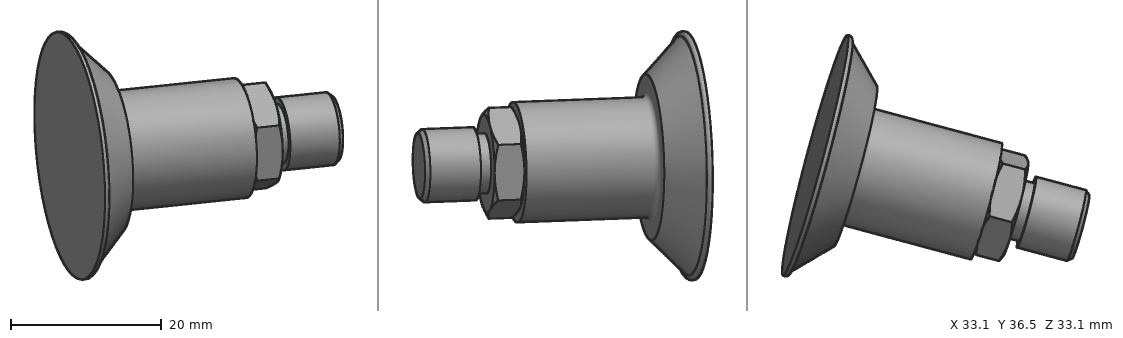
import cadquery as cq
import math

total_length = 36.5
rim_center_height = 0.22
cup_height = 5.5
hex_start = 23.5
hex_end = 27.52
thread_start = 29.05

rim_diameter = 33.07
cone_base_radius = 15.88
cone_top_radius = 11.02
barrel_diameter = 16.0
neck_diameter = 8.0
thread_diameter = 9.75
hex_across_flats = 13.0

rim_round = 0.5
barrel_fillet = 0.7
thread_chamfer_length = 0.62
thread_chamfer_depth = 0.5
hex_chamfer_length = 0.47


def make_cup():
    """Suction cup: rim with a rounded bead edge and a conical back."""
    rim_radius = rim_diameter / 2
    round_center_radius = rim_radius - rim_round
    face_radius = round_center_radius + math.sqrt(rim_round**2 - rim_center_height**2)
    cone_base_inset = round_center_radius - cone_base_radius
    cone_base_height = rim_center_height + math.sqrt(rim_round**2 - cone_base_inset**2)
    profile = (
        cq.Workplane("XY")
        .lineTo(face_radius, 0)
        .threePointArc((rim_radius, rim_center_height), (cone_base_radius, cone_base_height))
        .lineTo(cone_top_radius, cup_height)
        .lineTo(0, cup_height)
        .close()
    )
    return profile.revolve(360, (0, 0), (0, 1))


def make_stem():
    """Barrel with a filleted foot, undercut neck and chamfered thread."""
    barrel_radius = barrel_diameter / 2
    foot_radius = barrel_radius + barrel_fillet
    arc_offset = barrel_fillet * math.sqrt(0.5)
    neck_radius = neck_diameter / 2
    thread_radius = thread_diameter / 2
    profile = (
        cq.Workplane("XY")
        .lineTo(foot_radius, 0)
        .lineTo(foot_radius, cup_height)
        .threePointArc(
            (foot_radius - arc_offset, cup_height + barrel_fillet - arc_offset),
            (barrel_radius, cup_height + barrel_fillet),
        )
        .lineTo(barrel_radius, hex_start)
        .lineTo(neck_radius, hex_start)
        .lineTo(neck_radius, thread_start)
        .lineTo(thread_radius, thread_start)
        .lineTo(thread_radius, total_length - thread_chamfer_length)
        .lineTo(thread_radius - thread_chamfer_depth, total_length)
        .lineTo(0, total_length)
        .close()
    )
    return profile.revolve(360, (0, 0), (0, 1))


def make_hexagon():
    """Hexagon with flats facing +X and -X and both ends chamfered by cones."""
    corner_radius = hex_across_flats / math.sqrt(3)
    end_radius = hex_across_flats / 2
    prism = (
        cq.Workplane("XZ", origin=(0, hex_start, 0))
        .polygon(6, 2 * corner_radius)
        .extrude(hex_start - hex_end)
        .rotate((0, 0, 0), (0, 1, 0), 30)
    )
    envelope = (
        cq.Workplane("XY")
        .moveTo(0, hex_start)
        .lineTo(end_radius, hex_start)
        .lineTo(corner_radius, hex_start + hex_chamfer_length)
        .lineTo(corner_radius, hex_end - hex_chamfer_length)
        .lineTo(end_radius, hex_end)
        .lineTo(0, hex_end)
        .close()
        .revolve(360, (0, 0), (0, 1))
    )
    return prism.intersect(envelope)


result = make_cup().union(make_stem()).union(make_hexagon())